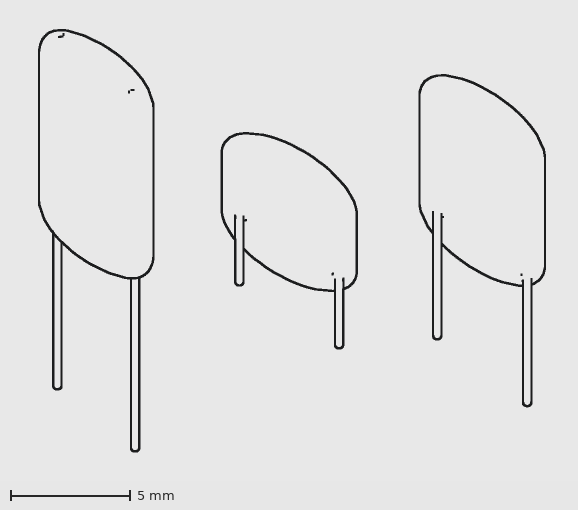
import math

import cadquery as cq

body_width = 6.5
body_depth = 3.0
body_height = 10.5
edge_radius = 1.0
half_width = body_width / 2
half_depth = body_depth / 2

lead_pitch = 5.0
lead_diameter = 0.36
lead_length = 10.0
lead_embed = 1.0
lead_tip_radius = 0.1
lead_collar_radius = 0.15

eccentricity_squared = 1 - (half_depth / half_width) ** 2
split_normal_scale = edge_radius * half_width / half_depth
split_x = math.sqrt((half_width**2 - split_normal_scale**2) / eccentricity_squared)
split_angle = math.acos(split_x / half_width)
tip_x = split_x * eccentricity_squared

cap_sections = 6
points_per_curve = 7
smallest_spread = 0.01


def rim_point(angle, spread, z):
    """Point of a cap section; spread runs from 1 on the ellipse to 0 on the flat end face."""
    x = half_width * math.cos(angle)
    y = half_depth * math.sin(angle)
    if abs(math.cos(angle)) > math.cos(split_angle):
        inner_x = math.copysign(tip_x, x)
        inner_y = 0
    else:
        normal_x = x / half_width**2
        normal_y = y / half_depth**2
        inset = edge_radius / math.hypot(normal_x, normal_y)
        inner_x = x - inset * normal_x
        inner_y = y - inset * normal_y
    return cq.Vector(inner_x + spread * (x - inner_x), inner_y + spread * (y - inner_y), z)


def outline_arc(start, end):
    """Exact ellipse arc between two parametric angles, at Z = 0."""
    return cq.Edge.makeEllipse(
        half_width,
        half_depth,
        angle1=math.degrees(start),
        angle2=math.degrees(end),
    )


def section_curve(start, end, spread, z):
    """Spline along a cap section between two parametric angles."""
    step = (end - start) / (points_per_curve - 1)
    angles = [start + i * step for i in range(points_per_curve)]
    return cq.Edge.makeSpline([rim_point(angle, spread, z) for angle in angles])


def cap_section(spread, z):
    """Closed wire of four curves: end, long side, end, long side."""
    splits = [-split_angle, split_angle, math.pi - split_angle, math.pi + split_angle]
    ends = splits[1:] + [splits[0] + 2 * math.pi]
    if spread == 1:
        curves = [outline_arc(start, end) for start, end in zip(splits, ends)]
    else:
        curves = [section_curve(start, end, spread, z) for start, end in zip(splits, ends)]
    return cq.Wire.assembleEdges(curves)


def make_cap():
    """Rounded upper end of the body, from Z = 0 up to the edge radius."""
    sections = []
    for i in range(cap_sections):
        rise = i / (cap_sections - 1) * math.pi / 2
        spread = max(math.cos(rise), smallest_spread)
        sections.append(cap_section(spread, edge_radius * math.sin(rise)))
    return cq.Workplane(cq.Solid.makeLoft(sections))


def make_body():
    """Straight elliptical block closed by a rounded cap at each end."""
    cap = make_cap()
    block = (
        cq.Workplane("XY", origin=(0, 0, edge_radius))
        .ellipse(half_width, half_depth)
        .extrude(body_height - 2 * edge_radius)
    )
    top = cap.translate((0, 0, body_height - edge_radius))
    bottom = cap.mirror("XY").translate((0, 0, edge_radius))
    return block.union(top).union(bottom)


def make_lead(x):
    """Round wire at the given X, rounded at its lower tip."""
    return (
        cq.Workplane("XY", origin=(x, 0, -lead_length))
        .circle(lead_diameter / 2)
        .extrude(lead_length + lead_embed)
        .faces("<Z")
        .fillet(lead_tip_radius)
    )


def add_lead(body, x):
    """Join a wire to the body and blend the joint with a small collar fillet."""
    joint_zone = cq.selectors.BoxSelector(
        (x - lead_diameter, -lead_diameter, -lead_diameter),
        (x + lead_diameter, lead_diameter, edge_radius),
    )
    return body.union(make_lead(x)).edges(joint_zone).fillet(lead_collar_radius)


result = make_body()
for side in (-1, 1):
    result = add_lead(result, side * lead_pitch / 2)